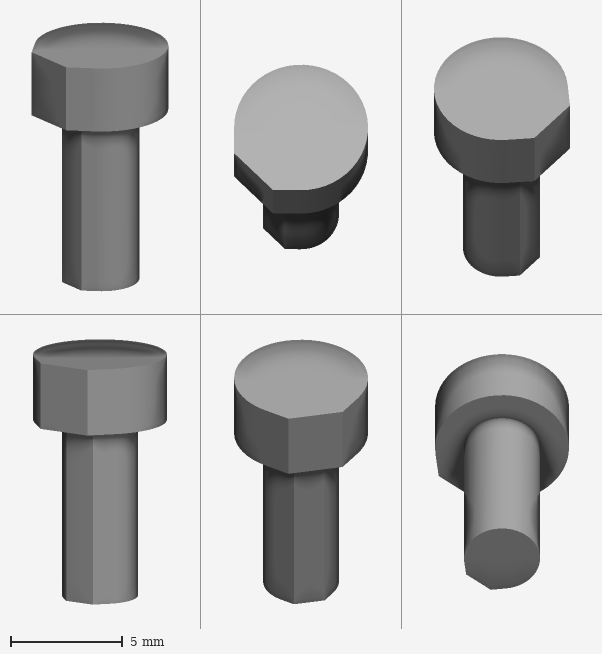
import cadquery as cq
import math

total_height = 11.07
head_height = 3.0
head_diameter = 5.99
shank_diameter = 3.4

shank_height = total_height - head_height


def truncated_teardrop(diameter, height, base_z):
    """Round prism whose -Y side runs along 45 degree tangents to a flat one radius from the axis."""
    radius = diameter / 2
    tangent_offset = radius * math.sqrt(0.5)
    flat_half_width = radius * (math.sqrt(2) - 1)
    return (
        cq.Workplane("XY", origin=(0, 0, base_z))
        .moveTo(-flat_half_width, -radius)
        .lineTo(flat_half_width, -radius)
        .lineTo(tangent_offset, -tangent_offset)
        .threePointArc((0, radius), (-tangent_offset, -tangent_offset))
        .close()
        .extrude(height)
    )


shank = truncated_teardrop(shank_diameter, shank_height, 0)
head = truncated_teardrop(head_diameter, head_height, shank_height)

result = shank.union(head)